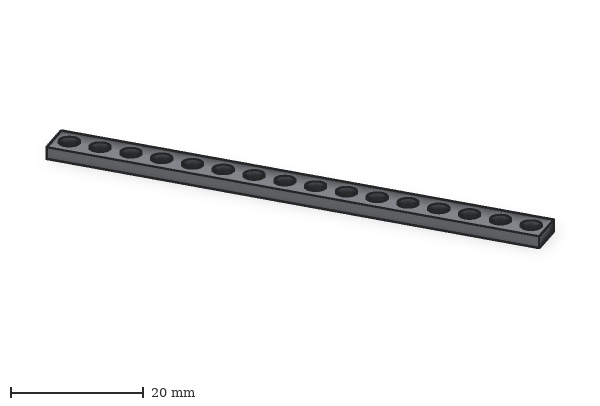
import cadquery as cq

length = 80.0
width = 6.0
thickness = 2.0

hole_count = 16
hole_diameter = 3.2
hole_pitch = length / hole_count

bar = cq.Workplane("XY").box(length, width, thickness)

result = (
    bar.faces(">Z")
    .workplane()
    .rarray(hole_pitch, width, hole_count, 1)
    .hole(hole_diameter)
)